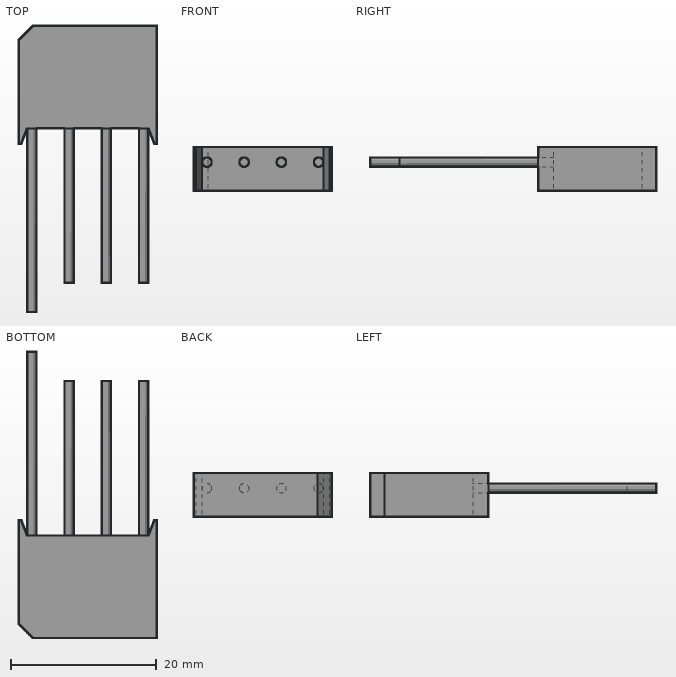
import cadquery as cq

width = 19.0
overall_length = 39.3
height = 6.0

housing_depth = 16.25
lip_depth = 2.12
lip_tip_width = 0.35
lip_root_width = 1.18
corner_chamfer = 1.95

pin_count = 4
pin_pitch = 5.1
pin_diameter = 1.3
pin_height = 3.93
long_pin_extra = 4.0

half_width = width / 2
back_y = overall_length / 2
lip_tip_y = back_y - housing_depth
seat_y = lip_tip_y + lip_depth
long_pin_length = overall_length - (back_y - seat_y)
short_pin_length = long_pin_length - long_pin_extra
first_pin_x = -pin_pitch * (pin_count - 1) / 2


def make_housing():
    """Extrude the plan outline, including the lips and the polarity corner."""
    outline = [
        (-half_width, lip_tip_y),
        (-half_width + lip_tip_width, lip_tip_y),
        (-half_width + lip_root_width, seat_y),
        (half_width - lip_root_width, seat_y),
        (half_width - lip_tip_width, lip_tip_y),
        (half_width, lip_tip_y),
        (half_width, back_y),
        (-half_width + corner_chamfer, back_y),
        (-half_width, back_y - corner_chamfer),
    ]
    return cq.Workplane("XY").polyline(outline).close().extrude(height)


def make_pin(x, length):
    """Round lead that starts on the seat face and runs toward -Y."""
    seat = cq.Workplane("XZ", origin=(x, seat_y, pin_height))
    return seat.circle(pin_diameter / 2).extrude(length)


housing = make_housing()

pins = []
for index in range(pin_count):
    pin_length = long_pin_length if index == 0 else short_pin_length
    pins.append(make_pin(first_pin_x + index * pin_pitch, pin_length))

result = cq.Compound.makeCompound([housing.val(), *[pin.val() for pin in pins]])